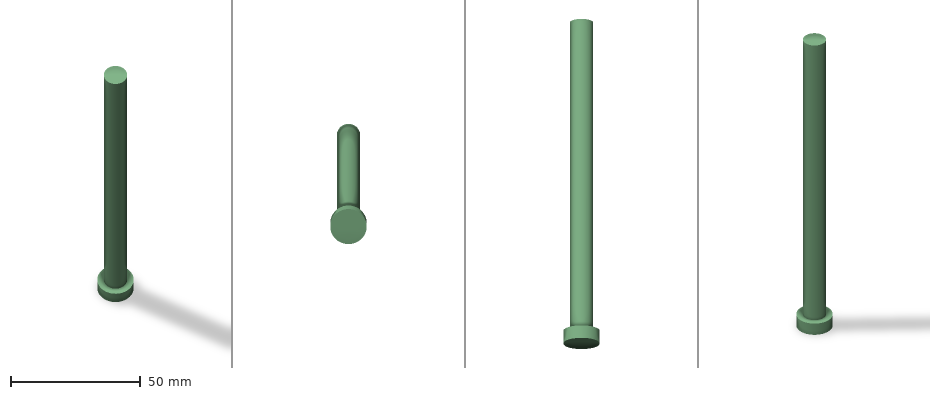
import cadquery as cq

total_length = 130.0
head_diameter = 14.0
head_height = 5.1
shank_diameter = 9.0

shank_length = total_length - head_height

head = cq.Workplane("XY").circle(head_diameter / 2).extrude(head_height)
result = head.faces(">Z").workplane().circle(shank_diameter / 2).extrude(shank_length)